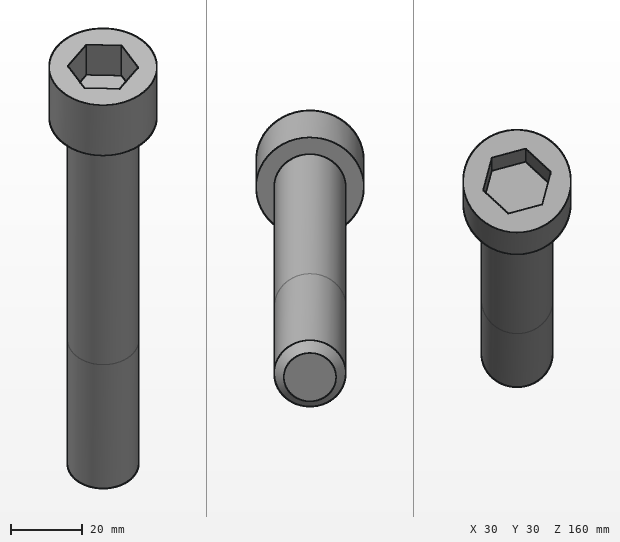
import cadquery as cq
import math

total_length = 160.0
head_diameter = 30.0
shank_diameter = 20.0
head_height = shank_diameter
shank_length = total_length - head_height
thread_length = 52.0
tip_chamfer = 2.7
hex_across_flats = 17.0
hex_depth = 12.0


def cylinder(diameter, bottom, height):
    return cq.Workplane("XY").workplane(offset=bottom).circle(diameter / 2).extrude(height)


hex_across_corners = hex_across_flats / math.cos(math.pi / 6)
socket = (
    cq.Workplane("XY")
    .workplane(offset=head_height - hex_depth)
    .polygon(6, hex_across_corners)
    .extrude(hex_depth)
)
head = cylinder(head_diameter, 0, head_height).cut(socket)

plain_shank = cylinder(shank_diameter, thread_length - shank_length, shank_length - thread_length)
threaded_end = cylinder(shank_diameter, -shank_length, thread_length).faces("<Z").chamfer(tip_chamfer)

result = head.union(plain_shank).union(threaded_end, clean=False)